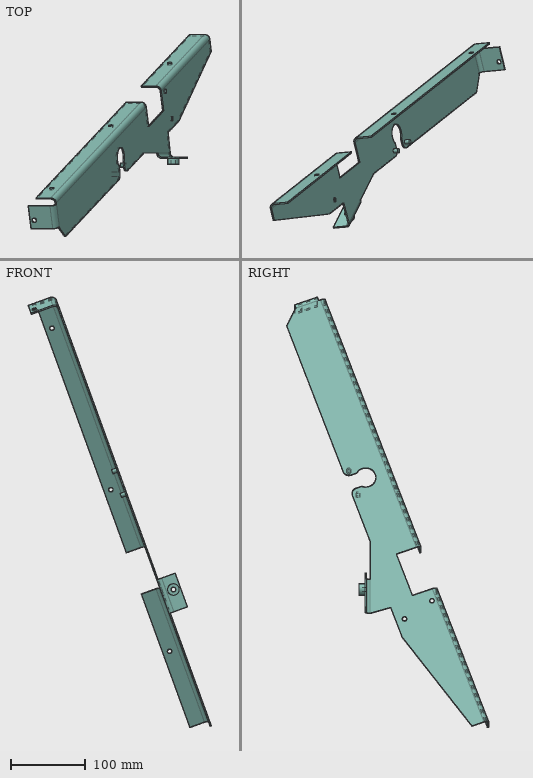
import cadquery as cq
import math


SHEET = 2.0
BEND_RADIUS = 5.0
BEND_SIZE = BEND_RADIUS + SHEET

TILT = 20.0
PLATE_OFFSET = 18.3

FLANGE_LINE = 16.3
FREE_EDGE = -38.8
LOWER_FREE_EDGE = -45.2
TOP_END = 309.2
BOTTOM_END = -330.9
TOP_CHAMFER = 19.4
BOTTOM_CORNER = -0.7
TAPER_START = -180.0
TAB_NECK_BOTTOM = -134.9

NOTCH_TOP = -66.0
NOTCH_BOTTOM = -128.7
NOTCH_FLOOR = -11.9

KEYHOLE_X = 50.6
KEYHOLE_Y = -13.3
KEYHOLE_RADIUS = 13.6
KEYHOLE_MOUTH = 20.0
LIP_RADIUS = 8.0
PIN_DIAMETER = 6.0
PIN_LENGTH = 6.5

FLANGE_HEIGHT = 28.0
HOLE_DIAMETER = 6.0
FLANGE_HOLE_HEIGHT = 18.5
FLANGE_HOLE_PITCH = 245.0
FLANGE_HOLE_FIRST = -219.0
FLANGE_HOLE_COUNT = 3

END_TAB_LEFT = 14.0
END_TAB_RIGHT = -18.4
END_TAB_HEIGHT = 38.2
END_TAB_HOLE_HEIGHT = 32.3
END_TAB_HOLE_Y = -6.5

MOUNT_LINE_DISTANCE = 24.0
MOUNT_TOP = -102.3
MOUNT_BOTTOM = -150.6
MOUNT_HEIGHT = 26.4
BOSS_DIAMETER = 15.52
BOSS_LENGTH = 8.0
BOSS_HEIGHT = 16.6
BOSS_STATION = -122.2

PLATE_HOLES = [(-144.8, 10.0), (-156.5, -33.3)]

COS_TILT = math.cos(math.radians(TILT))
SIN_TILT = math.sin(math.radians(TILT))


def mount_point(station, outward=0.0):
    """Local XY of a point on the mounting tab's bend line, moved outward from it."""
    away = MOUNT_LINE_DISTANCE + outward
    return (COS_TILT * station + SIN_TILT * away, SIN_TILT * station - COS_TILT * away)


def bent_strip(start, outward, along, width, height):
    """Bend and upright leg of a strip: starts at `start` on the plate and rises `height` from Z = 0.

    `outward` points away from the plate and `along` follows the bend line.
    """
    frame = cq.Plane(
        origin=(start[0], start[1], 0),
        xDir=(outward[0], outward[1], 0),
        normal=(along[0], along[1], 0),
    )
    up = 1 if frame.yDir.z > 0 else -1
    diagonal = math.sqrt(0.5)
    outer_mid = BEND_SIZE * diagonal
    inner_mid = BEND_RADIUS * diagonal
    return (
        cq.Workplane(frame)
        .moveTo(0, 0)
        .threePointArc((outer_mid, up * (BEND_SIZE - outer_mid)), (BEND_SIZE, up * BEND_SIZE))
        .lineTo(BEND_SIZE, up * height)
        .lineTo(BEND_RADIUS, up * height)
        .lineTo(BEND_RADIUS, up * BEND_SIZE)
        .threePointArc((inner_mid, up * (BEND_SIZE - inner_mid)), (0, up * SHEET))
        .close()
        .extrude(width)
    )


def cylinder(center, axis, diameter, length):
    return cq.Workplane(cq.Plane(origin=center, normal=axis)).circle(diameter / 2).extrude(length)


def pin_positions():
    spread = KEYHOLE_MOUTH / 2 + LIP_RADIUS
    return [(KEYHOLE_X + side * spread, FREE_EDGE + LIP_RADIUS) for side in (1, -1)]


def make_plate():
    mount_top = mount_point(MOUNT_TOP)
    mount_bottom = mount_point(MOUNT_BOTTOM)
    mount_edge_start = mount_point((FREE_EDGE + COS_TILT * MOUNT_LINE_DISTANCE) / SIN_TILT)
    outline = [
        (BOTTOM_END, FLANGE_LINE),
        (NOTCH_BOTTOM, FLANGE_LINE),
        (NOTCH_BOTTOM, NOTCH_FLOOR),
        (NOTCH_TOP, NOTCH_FLOOR),
        (NOTCH_TOP, FLANGE_LINE),
        (TOP_END, FLANGE_LINE),
        (TOP_END, FREE_EDGE + TOP_CHAMFER),
        (TOP_END - TOP_CHAMFER, FREE_EDGE),
        mount_edge_start,
        mount_top,
        mount_bottom,
        (TAB_NECK_BOTTOM, LOWER_FREE_EDGE),
        (TAPER_START, LOWER_FREE_EDGE),
        (BOTTOM_END, BOTTOM_CORNER),
    ]
    plate = cq.Workplane("XY").polyline(outline).close().extrude(SHEET)
    return plate.cut(make_keyhole())


def make_keyhole():
    half_mouth = KEYHOLE_MOUTH / 2
    lip_start = FREE_EDGE + LIP_RADIUS
    round_hole = cylinder((KEYHOLE_X, KEYHOLE_Y, 0), (0, 0, 1), 2 * KEYHOLE_RADIUS, SHEET)
    arc_rise = LIP_RADIUS * (1 - math.sqrt(0.5))
    flare = half_mouth + LIP_RADIUS
    mouth = (
        cq.Workplane("XY")
        .moveTo(KEYHOLE_X - half_mouth, KEYHOLE_Y)
        .lineTo(KEYHOLE_X - half_mouth, lip_start)
        .threePointArc(
            (KEYHOLE_X - half_mouth - arc_rise, FREE_EDGE + arc_rise),
            (KEYHOLE_X - flare, FREE_EDGE),
        )
        .lineTo(KEYHOLE_X + flare, FREE_EDGE)
        .threePointArc(
            (KEYHOLE_X + half_mouth + arc_rise, FREE_EDGE + arc_rise),
            (KEYHOLE_X + half_mouth, lip_start),
        )
        .lineTo(KEYHOLE_X + half_mouth, KEYHOLE_Y)
        .close()
        .extrude(SHEET)
    )
    return round_hole.union(mouth)


def make_flange(bottom, top):
    return bent_strip((bottom, FLANGE_LINE), (0, 1), (1, 0), top - bottom, FLANGE_HEIGHT)


def make_end_tab():
    tab = bent_strip(
        (TOP_END, END_TAB_RIGHT), (1, 0), (0, 1), END_TAB_LEFT - END_TAB_RIGHT, END_TAB_HEIGHT
    )
    hole_base = (TOP_END + BEND_RADIUS, END_TAB_HOLE_Y, END_TAB_HOLE_HEIGHT)
    return tab.cut(cylinder(hole_base, (1, 0, 0), HOLE_DIAMETER, SHEET))


def make_mounting_tab():
    outward = (SIN_TILT, -COS_TILT)
    along = (COS_TILT, SIN_TILT)
    start = mount_point(MOUNT_BOTTOM)
    tab = bent_strip(start, outward, along, MOUNT_TOP - MOUNT_BOTTOM, MOUNT_HEIGHT)
    tab = tab.mirror("XY", (0, 0, SHEET / 2))
    boss_height = SHEET - BOSS_HEIGHT
    boss_base = (*mount_point(BOSS_STATION, BEND_SIZE), boss_height)
    hole_base = (*mount_point(BOSS_STATION, BEND_RADIUS), boss_height)
    axis = (*outward, 0)
    tab = tab.union(cylinder(boss_base, axis, BOSS_DIAMETER, BOSS_LENGTH))
    return tab.cut(cylinder(hole_base, axis, HOLE_DIAMETER, SHEET + BOSS_LENGTH))


def make_bracket():
    bracket = make_plate()
    bracket = bracket.union(make_flange(BOTTOM_END, NOTCH_BOTTOM))
    bracket = bracket.union(make_flange(NOTCH_TOP, TOP_END))
    bracket = bracket.union(make_end_tab())
    bracket = bracket.union(make_mounting_tab())
    for x, y in pin_positions():
        bracket = bracket.union(cylinder((x, y, 0), (0, 0, 1), PIN_DIAMETER, SHEET + PIN_LENGTH))
    for x, y in PLATE_HOLES:
        bracket = bracket.cut(cylinder((x, y, 0), (0, 0, 1), HOLE_DIAMETER, SHEET))
    for index in range(FLANGE_HOLE_COUNT):
        x = FLANGE_HOLE_FIRST + index * FLANGE_HOLE_PITCH
        hole_base = (x, FLANGE_LINE + BEND_RADIUS, FLANGE_HOLE_HEIGHT)
        bracket = bracket.cut(cylinder(hole_base, (0, 1, 0), HOLE_DIAMETER, SHEET))
    return bracket


along_plate = cq.Vector(-COS_TILT * SIN_TILT, -SIN_TILT, COS_TILT * COS_TILT)
plate_normal = cq.Vector(-COS_TILT, 0, -SIN_TILT)
bracket_frame = cq.Plane(
    origin=plate_normal * -PLATE_OFFSET, xDir=along_plate, normal=plate_normal
)
result = cq.Workplane(make_bracket().val().moved(cq.Location(bracket_frame)))